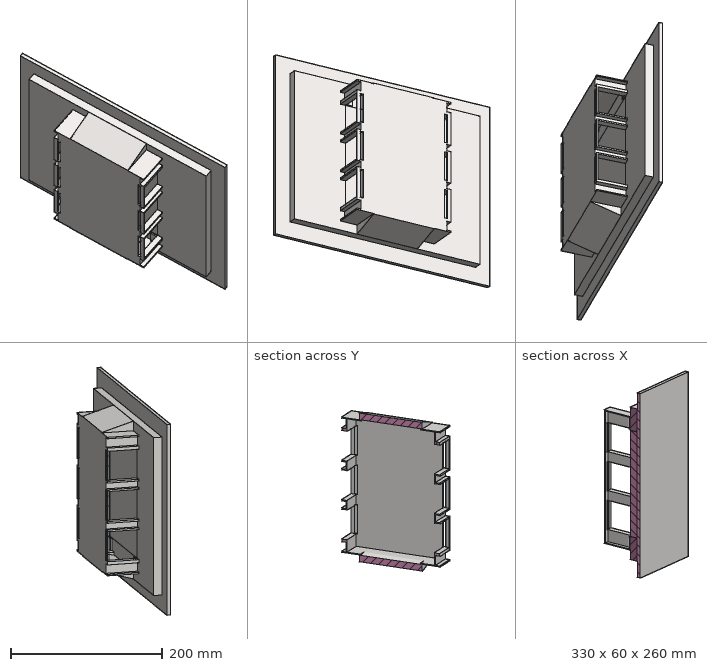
import cadquery as cq


plate_width = 330.0
plate_height = 260.0
plate_thickness = 5.3

slab_width = 285.8
slab_height = 215.0
slab_thickness = 11.5

housing_depth = 43.2
front_thickness = 3.0
wall = 2.0
body_width = 132.0
housing_height = 188.8
flange_width = 144.5
cavity_width = body_width - 2 * wall
cavity_height = housing_height - 2 * wall
housing_front = -housing_depth
cavity_front = housing_front + front_thickness

hood_width = 93.0
hood_front_height = 190.0
ramp_width = 87.8
ramp_back_height = 192.7
ramp_front_height = 178.2

window_height = 41.0
window_pitch = 54.8
window_rows = (-1, 0, 1)
slot_inner_x = 62.7
slot_outer_x = 67.0

panel_width = cavity_width
panel_height = 2 * window_pitch + window_height

middle_rim_end = 22.8
outer_rim_start = 32.0
outer_rim_end = 79.5
end_flange_start = housing_height / 2 - wall

tab_inner_x = 54.8
tab_inner_z = 76.0
tab_thickness = 2.0


def block(x_range, y_range, z_range):
    """Box between two limits on each axis, given in either order."""
    limits = [sorted(pair) for pair in (x_range, y_range, z_range)]
    size = [high - low for low, high in limits]
    corner = tuple(low for low, high in limits)
    return cq.Workplane("XY").box(*size, centered=False).translate(corner)


def centred_block(width, height, y_start, y_end):
    """Box centred on the Y axis."""
    return block((-width / 2, width / 2), (y_start, y_end), (-height / 2, height / 2))


def tapered_block(width, back_height, front_height, y_front):
    """Block centred on the Y axis whose height changes evenly from Y = 0 to y_front."""
    profile = [
        (0, -back_height / 2),
        (0, back_height / 2),
        (y_front, front_height / 2),
        (y_front, -front_height / 2),
    ]
    return cq.Workplane("YZ").polyline(profile).close().extrude(width / 2, both=True)


def cut_channels(housing):
    """Cut the flanges back to the side walls between the window rims."""
    channels = [
        (middle_rim_end, outer_rim_start),
        (outer_rim_end, end_flange_start),
    ]
    for side in (-1, 1):
        x_range = (side * body_width / 2, side * flange_width / 2)
        for z_side in (-1, 1):
            for start, end in channels:
                z_range = (z_side * start, z_side * end)
                housing = housing.cut(block(x_range, (housing_front, 0), z_range))
    return housing


def add_hoods(housing):
    """Add the sloped hoods at both ends."""
    return housing.union(tapered_block(hood_width, slab_height, hood_front_height, housing_front))


def cut_cavity(housing):
    """Hollow the box and cut the ramps that run from it into the hoods."""
    box_cavity = centred_block(cavity_width, cavity_height, cavity_front, 0)
    ramps = tapered_block(ramp_width, ramp_back_height, ramp_front_height, cavity_front)
    return housing.cut(box_cavity).cut(ramps)


def add_corner_tabs(housing):
    """Add a flat tab in each rear corner of the cavity."""
    for side in (-1, 1):
        x_range = (side * tab_inner_x, side * body_width / 2)
        for z_side in (-1, 1):
            z_range = (z_side * tab_inner_z, z_side * housing_height / 2)
            housing = housing.union(block(x_range, (-tab_thickness, 0), z_range))
    return housing


def cut_windows(housing):
    """Open the side walls at each row and cut the matching slots through the front."""
    for row in window_rows:
        middle = row * window_pitch
        z_range = (middle - window_height / 2, middle + window_height / 2)
        for side in (-1, 1):
            window_x = (side * cavity_width / 2, side * flange_width / 2)
            slot_x = (side * slot_inner_x, side * slot_outer_x)
            housing = housing.cut(block(window_x, (housing_front + wall, 0), z_range))
            housing = housing.cut(block(slot_x, (housing_front, cavity_front), z_range))
    return housing


def make_housing():
    housing = centred_block(flange_width, housing_height, housing_front, 0)
    housing = cut_channels(housing)
    housing = add_hoods(housing)
    housing = cut_cavity(housing)
    housing = add_corner_tabs(housing)
    return cut_windows(housing)


def make_panel():
    """Panel that closes the housing and fills the opening of the slab."""
    return centred_block(panel_width, panel_height, 0, slab_thickness)


def make_slab():
    opening = centred_block(panel_width, panel_height, 0, slab_thickness)
    return centred_block(slab_width, slab_height, 0, slab_thickness).cut(opening)


def make_cover_plate():
    plate_back = slab_thickness + plate_thickness
    return centred_block(plate_width, plate_height, slab_thickness, plate_back)


housing = make_housing()
panel = make_panel()
slab = make_slab()
cover_plate = make_cover_plate()

result = cq.Compound.makeCompound(
    [
        *housing.solids().vals(),
        *panel.solids().vals(),
        *slab.solids().vals(),
        *cover_plate.solids().vals(),
    ]
)